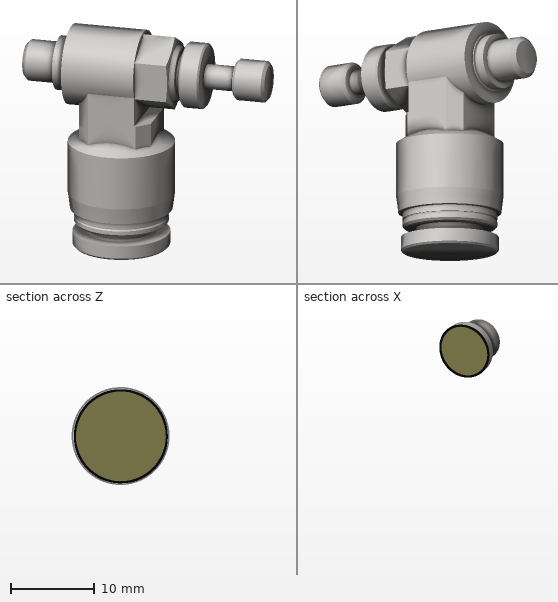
import cadquery as cq
import math


barrel_radius = 4.9
barrel_start = -6.2
barrel_end = 2.78
plug_radius = 2.5
plug_start = -11.8
plug_chamfer = 0.5
collar_radius = 3.3
collar_start = -7.75
lip_radius = 3.5
lip_groove_radius = 3.23
lip_groove_start = -6.62
lip_start = -6.45
lip_end = -6.35

hex_across_flats = 8.0
hex_end = 6.65
hex_corner_radius = hex_across_flats / math.sqrt(3)
hex_cone_end = 6.85
hex_cone_radius = 3.65
shoulder_start_radius = 3.5
shoulder_end_radius = 3.23
shoulder_end = 7.45

neck_radius = 2.45
ring_radius = 4.0
ring_start = 8.13
ring_end = 10.65
ring_chamfer = 0.2
stem_radius = 1.5
stem_end = 14.15
undercut_radius = 1.4
head_radius = plug_radius
head_start = 14.35
head_end = plug_start + 30.2
head_chamfer = 0.35

post_width = 8.95
post_bevel = 1.5
post_step_z = -5.65

socket_diameter = 12.9
socket_radius = socket_diameter / 2
socket_top = -9.18
cone_top = -7.7
cone_top_radius = 3.9
taper_start = -15.7
taper_end = -17.67
taper_end_radius = 6.2
clip_radius = 5.7
clip_groove_radius = 5.55
upper_clip_top = -17.75
upper_clip_bottom = -18.5
lower_clip_top = -18.6
lower_clip_bottom = -19.55
clip_top_chamfer = 0.18
clip_bottom_chamfer = 0.27
sleeve_radius = 4.05
sleeve_flare = 0.2
flange_radius = 5.9
flange_top = -20.63
flange_bottom = -22.45
flange_chamfer = 0.25


def disc_x(radius, start, end):
    """Cylinder on the X axis between two X positions."""
    return cq.Workplane("YZ", origin=(start, 0, 0)).circle(radius).extrude(end - start)


def make_plug():
    """Chamfered tip, collar and thin lip on the -X end of the barrel."""
    tip = disc_x(plug_radius, plug_start, 0).faces("<X").chamfer(plug_chamfer)
    collar = disc_x(collar_radius, collar_start, lip_groove_start)
    groove = disc_x(lip_groove_radius, lip_groove_start, barrel_start)
    lip = disc_x(lip_radius, lip_start, lip_end)
    return tip.union(collar).union(groove).union(lip)


def make_hexagon():
    """Hexagonal body, corners up and flats facing Y, with a coned end and shoulder."""
    blank = (
        cq.Workplane("YZ")
        .polygon(6, hex_across_flats, circumscribed=True)
        .extrude(hex_cone_end)
    )
    envelope = (
        cq.Workplane("XY")
        .polyline([
            (0, 0),
            (0, hex_corner_radius),
            (hex_end, hex_corner_radius),
            (hex_cone_end, hex_cone_radius),
            (hex_cone_end, 0),
        ])
        .close()
        .revolve(360, (0, 0, 0), (1, 0, 0))
    )
    body = blank.intersect(envelope)
    shoulder = (
        cq.Workplane("XY")
        .moveTo(hex_end, 0)
        .lineTo(hex_end, shoulder_start_radius)
        .lineTo(hex_cone_end, shoulder_start_radius)
        .lineTo(shoulder_end, shoulder_end_radius)
        .lineTo(shoulder_end, 0)
        .close()
        .revolve(360, (0, 0, 0), (1, 0, 0))
    )
    return body.union(shoulder)


def make_spindle():
    """Neck, lock ring, undercut stem and adjusting head on the +X end."""
    neck = disc_x(neck_radius, hex_end, ring_start)
    ring = disc_x(ring_radius, ring_start, ring_end).edges().chamfer(ring_chamfer)
    stem = disc_x(stem_radius, ring_start, stem_end)
    undercut = disc_x(undercut_radius, ring_start, head_end)
    head = disc_x(head_radius, head_start, head_end).edges().chamfer(head_chamfer)
    return neck.union(ring).union(stem).union(undercut).union(head)


def make_post():
    """Bevelled square post, cut back below the hexagon."""
    post = (
        cq.Workplane("XY", origin=(0, 0, socket_top))
        .rect(post_width, post_width)
        .extrude(-socket_top)
        .edges("|Z")
        .chamfer(post_bevel)
    )
    notch = cq.Workplane("XY", origin=(barrel_end, 0, post_step_z)).box(
        post_width, post_width, -post_step_z, centered=(False, True, False)
    )
    return post.cut(notch)


def make_socket():
    """Revolved socket with retaining clips and the release flange."""
    profile = [
        (0, cone_top),
        (cone_top_radius, cone_top),
        (socket_radius, socket_top),
        (socket_radius, taper_start),
        (taper_end_radius, taper_end),
        (clip_groove_radius, taper_end),
        (clip_groove_radius, upper_clip_top),
        (clip_radius, upper_clip_top),
        (clip_radius, upper_clip_bottom),
        (clip_groove_radius, upper_clip_bottom),
        (clip_groove_radius, lower_clip_top),
        (clip_radius, lower_clip_top - clip_top_chamfer),
        (clip_radius, lower_clip_bottom + clip_bottom_chamfer),
        (clip_radius - clip_bottom_chamfer, lower_clip_bottom),
        (sleeve_radius, lower_clip_bottom),
        (sleeve_radius, flange_top + sleeve_flare),
        (sleeve_radius + sleeve_flare, flange_top),
        (flange_radius, flange_top),
        (flange_radius, flange_bottom + flange_chamfer),
        (flange_radius - flange_chamfer, flange_bottom),
        (0, flange_bottom),
    ]
    return cq.Workplane("XZ").polyline(profile).close().revolve(360, (0, 0, 0), (0, 1, 0))


barrel = disc_x(barrel_radius, barrel_start, barrel_end)
result = (
    barrel.union(make_plug())
    .union(make_hexagon())
    .union(make_spindle())
    .union(make_post())
    .union(make_socket())
)